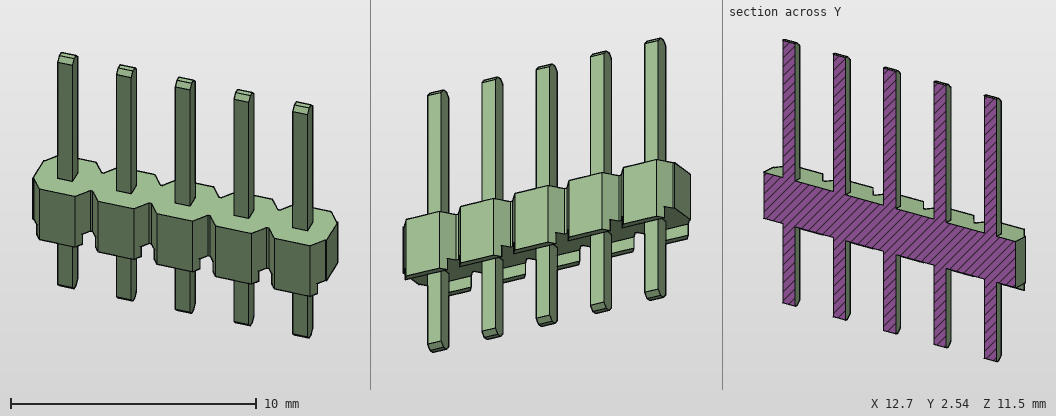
import cadquery as cq

pin_count = 5
pitch = 2.54

body_width = 2.54
body_height = 2.54
body_length = 12.71
cell_flat = 1.55
web_width = 1.34
web_gap = 0.10

channel_height = 0.50
long_channel_width = 1.94
cross_channel_width = 0.56

pin_side = 0.64
pin_above_body = 6.02
pin_below_body = 2.98
pin_tip_chamfer = 0.20

pin_length = pin_above_body + body_height + pin_below_body
pin_positions = [(i - (pin_count - 1) / 2) * pitch for i in range(pin_count)]
gap_positions = [(i - pin_count / 2) * pitch for i in range(pin_count + 1)]


def make_box(x_center, length, width, z_bottom, height):
    """Box centred on Y = 0, standing on z_bottom."""
    return (
        cq.Workplane("XY", origin=(x_center, 0, z_bottom))
        .rect(length, width)
        .extrude(height)
    )


def make_cell(x_center):
    """Octagonal prism around one pin."""
    half_flat = cell_flat / 2
    half_length = (pitch - web_gap) / 2
    half_web = web_width / 2
    half_width = body_width / 2
    outline = [
        (half_length, -half_web),
        (half_length, half_web),
        (half_flat, half_width),
        (-half_flat, half_width),
        (-half_length, half_web),
        (-half_length, -half_web),
        (-half_flat, -half_width),
        (half_flat, -half_width),
    ]
    return (
        cq.Workplane("XY", origin=(x_center, 0, 0))
        .polyline(outline)
        .close()
        .extrude(body_height)
    )


def make_body():
    """Cells joined by a full-length web, standing on feet left by the channels."""
    body = make_box(0, body_length, web_width, 0, body_height)
    for x in pin_positions:
        body = body.union(make_cell(x))
    body = body.cut(make_box(0, body_length, long_channel_width, 0, channel_height))
    for x in gap_positions:
        body = body.cut(make_box(x, cross_channel_width, body_width, 0, channel_height))
    return body


def make_pin(x_center):
    """Square pin whose two ends are chamfered on the edges that run along X."""
    pin = make_box(x_center, pin_side, pin_side, -pin_below_body, pin_length)
    return pin.faces("<Z or >Z").edges("|X").chamfer(pin_tip_chamfer)


result = make_body()
for pin_x in pin_positions:
    result = result.union(make_pin(pin_x))